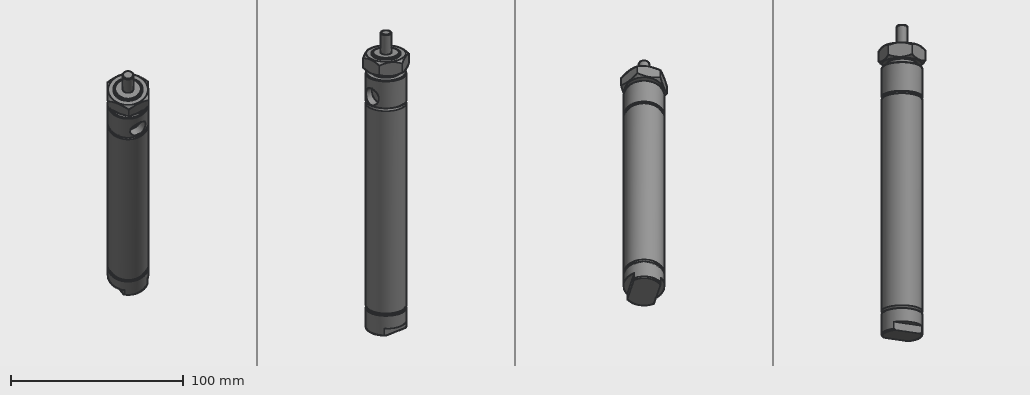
import cadquery as cq
import math

overall_length = 189.0
body_diameter = 23.8

head_top = 163.5
end_chamfer_bottom = 0.8
end_chamfer_top = 0.5
tang_thickness = 15.9
tang_length = 5.0

port_height = 151.5
port_diameter = 10.5
port_depth = 5.7

cap_ledge = 13.0
head_ledge = 145.7
groove_width = 1.7
groove_depth = 1.0
groove_floor_width = 0.4

neck_diameter = 15.9
neck_top = 176.1
neck_chamfer = 0.5

rod_diameter = 6.5
rod_chamfer_height = 0.5
rod_chamfer_width = 0.4

nut_across_flats = body_diameter
nut_bottom = 166.1
nut_height = 9.3
nut_bevel_width = 2.3
nut_bevel_height = 1.7
nut_countersink = 0.66

body_radius = body_diameter / 2
neck_radius = neck_diameter / 2
nut_top = nut_bottom + nut_height
nut_across_corners = nut_across_flats / math.cos(math.pi / 6)


def cylinder(diameter, bottom, top):
    """Upright cylinder on the Z axis between two heights."""
    return cq.Workplane("XY").workplane(offset=bottom).circle(diameter / 2).extrude(top - bottom)


def ring(section):
    """Solid of revolution about the Z axis from (radius, height) points."""
    return cq.Workplane("XZ").polyline(section).close().revolve(360, (0, 0, 0), (0, 1, 0))


def groove(ledge_height, toward_tube):
    """Groove with a square ledge on the end piece and a taper on the tube.

    toward_tube is +1 when the tube lies above the ledge and -1 when it lies below.
    """
    floor_radius = body_radius - groove_depth
    floor_end = ledge_height + toward_tube * groove_floor_width
    tube_end = ledge_height + toward_tube * groove_width
    return ring([
        (body_radius, ledge_height),
        (floor_radius, ledge_height),
        (floor_radius, floor_end),
        (body_radius, tube_end),
    ])


def tang_flats():
    """Material removed on both Y sides to leave a flat tang at the bottom end."""
    around_tang = cylinder(2 * body_diameter, 0, tang_length)
    tang = cq.Workplane("XY").box(
        2 * body_diameter, tang_thickness, tang_length, centered=(True, True, False)
    )
    return around_tang.cut(tang)


def side_port():
    """Blind round port entering the head from the +X side."""
    return (
        cq.Workplane("YZ")
        .workplane(offset=body_radius - port_depth)
        .center(0, port_height)
        .circle(port_diameter / 2)
        .extrude(port_depth)
    )


def make_body():
    barrel = cylinder(body_diameter, 0, head_top)
    barrel = barrel.faces("<Z").chamfer(end_chamfer_bottom)
    barrel = barrel.faces(">Z").chamfer(end_chamfer_top)
    neck = cylinder(neck_diameter, head_top, neck_top).faces(">Z").chamfer(neck_chamfer)
    rod_socket = cylinder(rod_diameter, head_top, neck_top)
    return (
        barrel.union(neck)
        .cut(groove(cap_ledge, 1))
        .cut(groove(head_ledge, -1))
        .cut(tang_flats())
        .cut(side_port())
        .cut(rod_socket)
    )


def make_rod():
    """Rod standing on the floor of the neck's socket."""
    rod = cylinder(rod_diameter, head_top, overall_length)
    return rod.faces(">Z").chamfer(rod_chamfer_height, rod_chamfer_width)


def countersink(height):
    """Double 45 degree cone that countersinks the nut's bore at one end face."""
    mouth_radius = neck_radius + nut_countersink
    return ring([
        (0, height - mouth_radius),
        (mouth_radius, height),
        (0, height + mouth_radius),
    ])


def make_nut():
    hexagon = (
        cq.Workplane("XY")
        .workplane(offset=nut_bottom)
        .transformed(rotate=(0, 0, 30))
        .polygon(6, nut_across_corners)
        .extrude(nut_height)
    )
    blank = cylinder(nut_across_corners, nut_bottom, nut_top)
    blank = blank.faces("<Z or >Z").chamfer(nut_bevel_height, nut_bevel_width)

    nut = hexagon.intersect(blank).cut(cylinder(neck_diameter, nut_bottom, nut_top))
    for end_height in (nut_bottom, nut_top):
        nut = nut.cut(countersink(end_height))
    return nut


body = make_body()
rod = make_rod()
nut = make_nut()

result = cq.Compound.makeCompound([part.solids().val() for part in (body, rod, nut)])